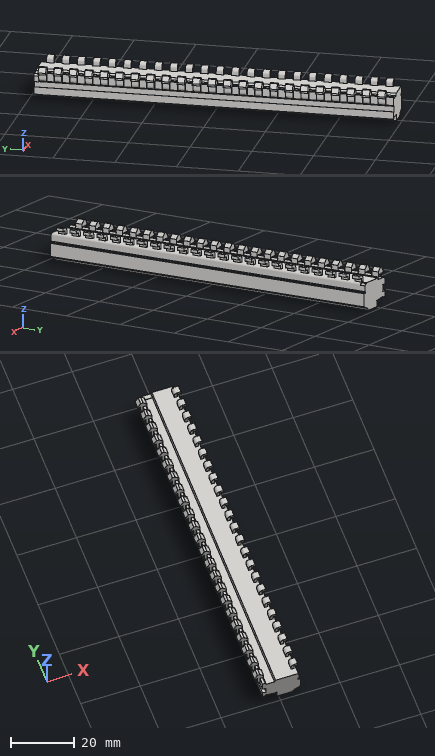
import cadquery as cq

width = 14.7
length = 116.5
height = 11.5

plate_thickness = 1.6
pin_count = 23
pin_pitch = (length - plate_thickness) / pin_count
pin_width = 2.5
first_pin_start = 2.3

top_z = height / 2
body_top_z = 3.6
shelf_z = 2.9
groove_top_z = 0.2
lip_top_z = -1.2
lip_bottom_z = -3.6
underside_outer_z = -3.3
underside_inner_z = -3.7
bottom_z = -top_z

right_x = width / 2
left_x = -right_x
rail_left_x = -5.5
rail_right_x = -4.2
shelf_end_x = -1.0
shelf_step_lean = 0.3
foot_left_x = -0.6
foot_lean = 0.1
foot_right_x = 4.7
shoulder_x = 6.9
notch_x = 6.5

shoulder_radius = 0.8
shoulder_bottom_z = 0.8
notch_bottom_z = 0.3
rail_bottom_z = 0.9
rail_top_lean = 0.3
lip_fall = 0.5
side_bottom_z = -4.0
foot_bevel_x = 5.4
foot_bevel_z = -4.9

plate_shelf_z = 3.0
plate_shoulder_z = 2.5
plate_slope_x = -4.8
plate_ledge_z = 0.6
plate_corner_drop = 0.2
plate_corner_width = 0.2

cap_bottom_z = body_top_z
cap_left_z = 4.2
cap_right_z = 4.5
crest_left_x = -6.3
crest_right_x = rail_left_x
stem_left_x = crest_left_x
stem_tip_x = -5.7
stem_round_z = 2.0
stem_round_radius = 1.3

hook_left_x = 5.0
hook_thickness = 1.0
hook_outer_radius = 1.2
hook_root_depth = 0.6

start_y = -length / 2
plate_start_y = length / 2 - plate_thickness


def extrude_along_y(outline, start, depth):
    """Extrude a closed XZ outline from Y = start towards +Y."""
    return outline.close().extrude(-depth).translate((0, start, 0))


def lower_outline(outline):
    """Continue an outline from the +X shoulder round the notch, foot and lip to the groove."""
    return (
        outline.lineTo(shoulder_x, shoulder_bottom_z)
        .lineTo(notch_x, shoulder_bottom_z)
        .lineTo(notch_x, notch_bottom_z)
        .lineTo(right_x, notch_bottom_z)
        .lineTo(right_x, side_bottom_z)
        .lineTo(foot_bevel_x, foot_bevel_z)
        .lineTo(foot_right_x, bottom_z)
        .lineTo(foot_left_x + foot_lean, bottom_z)
        .lineTo(foot_left_x, underside_inner_z)
        .lineTo(rail_right_x, underside_outer_z)
        .lineTo(rail_right_x, lip_bottom_z)
        .lineTo(rail_left_x, lip_bottom_z)
        .lineTo(rail_left_x, lip_top_z)
        .lineTo(rail_right_x, lip_top_z - lip_fall)
    )


def main_body():
    """Housing that carries all the pins, with a raised rail along its -X edge."""
    outline = (
        cq.Workplane("XZ")
        .moveTo(rail_left_x, body_top_z)
        .lineTo(rail_right_x - rail_top_lean, body_top_z)
        .lineTo(rail_right_x, shelf_z)
        .lineTo(shelf_end_x - shelf_step_lean, shelf_z)
        .lineTo(shelf_end_x, body_top_z)
        .lineTo(shoulder_x - shoulder_radius, body_top_z)
        .radiusArc((shoulder_x, body_top_z - shoulder_radius), shoulder_radius)
    )
    outline = (
        lower_outline(outline)
        .lineTo(rail_right_x, groove_top_z)
        .lineTo(rail_left_x, rail_bottom_z)
    )
    return extrude_along_y(outline, start_y, length - plate_thickness)


def end_plate():
    """Plain closing plate at the +Y end, with a low sloped shoulder instead of the rail."""
    corner_x = shoulder_x - shoulder_radius
    outline = (
        cq.Workplane("XZ")
        .moveTo(rail_left_x, plate_shoulder_z)
        .lineTo(plate_slope_x, plate_shelf_z)
        .lineTo(shelf_end_x - shelf_step_lean, plate_shelf_z)
        .lineTo(shelf_end_x, body_top_z)
        .lineTo(corner_x - plate_corner_width, body_top_z)
        .lineTo(corner_x, body_top_z - plate_corner_drop)
        .radiusArc((shoulder_x, body_top_z - shoulder_radius), shoulder_radius)
    )
    outline = (
        lower_outline(outline)
        .lineTo(rail_right_x, plate_ledge_z)
        .lineTo(rail_left_x, plate_ledge_z)
    )
    return extrude_along_y(outline, plate_start_y, plate_thickness)


def latch_pin(start):
    """Arrow-headed latch standing on the rail, with a stem down its -X face."""
    outline = (
        cq.Workplane("XZ")
        .moveTo(left_x, cap_bottom_z)
        .lineTo(left_x, cap_left_z)
        .lineTo(crest_left_x, top_z)
        .lineTo(crest_right_x, top_z)
        .lineTo(rail_right_x, cap_right_z)
        .lineTo(rail_right_x, rail_bottom_z)
        .lineTo(stem_tip_x, rail_bottom_z)
        .radiusArc((stem_left_x, stem_round_z), stem_round_radius)
        .lineTo(stem_left_x, cap_bottom_z)
    )
    return extrude_along_y(outline, start, pin_width)


def hook(start):
    """Bent tab rising from the body top and turning towards +X."""
    inner_x = hook_left_x + hook_thickness
    root_z = body_top_z - hook_root_depth
    outline = (
        cq.Workplane("XZ")
        .moveTo(hook_left_x, root_z)
        .lineTo(hook_left_x, top_z - hook_outer_radius)
        .radiusArc((hook_left_x + hook_outer_radius, top_z), hook_outer_radius)
        .lineTo(right_x, top_z)
        .lineTo(right_x, top_z - hook_thickness)
        .lineTo(inner_x, top_z - hook_thickness)
        .lineTo(inner_x, root_z)
    )
    return extrude_along_y(outline, start, pin_width)


result = main_body().union(end_plate())
for index in range(pin_count):
    pin_start = start_y + first_pin_start + index * pin_pitch
    result = result.union(latch_pin(pin_start)).union(hook(pin_start))